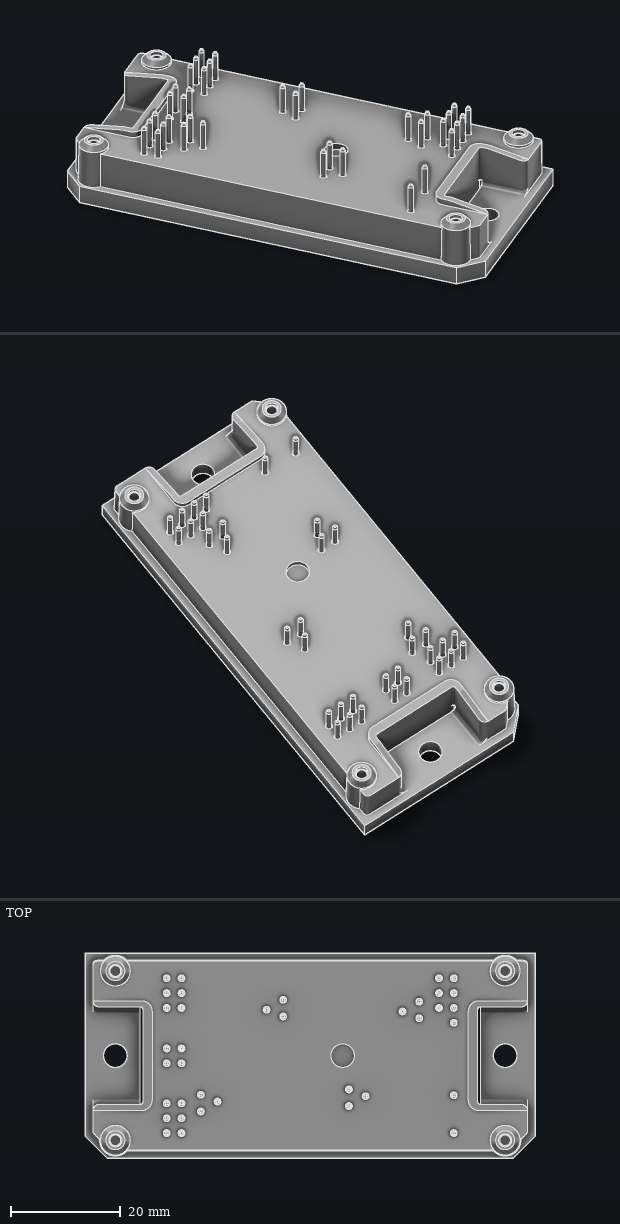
import cadquery as cq
import math

LENGTH = 82.0
WIDTH = 37.4
FLANGE_HEIGHT = 3.5
FLANGE_CHAMFER = 4.0

TOP_Z = 10.5
BLOCK_LENGTH = 79.2
BLOCK_TOP_WIDTH = 34.4
BLOCK_FOOT_WIDTH = 34.8
BLOCK_CORNER_CUT = 3.4
BLOCK_CORNER_RADIUS = 0.8
BLOCK_END_X = BLOCK_LENGTH / 2

BOSS_X = 35.5
BOSS_Y = 15.4
BOSS_FOOT_RADIUS = 2.9
BOSS_RADIUS = 2.7
BOSS_TOP_Z = 12.0
BOSS_CHAMFER = 1.0
SCREW_HOLE_MOUTH_DIAMETER = 2.4
SCREW_HOLE_MOUTH_DEPTH = 0.7
SCREW_HOLE_DIAMETER = 2.0
SCREW_HOLE_DEPTH = 4.9

POCKET_WALL_X = 30.5
POCKET_HALF_WIDTH = 8.85
POCKET_FOOT_RADIUS = 1.15
POCKET_BACK_RADIUS = 0.5
POCKET_MOUTH_RADIUS = 1.2
SLIT_WIDTH = 0.5
MOUNTING_HOLE_DIAMETER = 4.3
RIM_TOP_Z = 11.7
RIM_X = 28.8
RIM_HALF_WIDTH = 10.0
RIM_CORNER_RADIUS = 2.0
RIM_RAMP_X = 32.15
RIM_RAMP_BLEND_RADIUS = 2.95

WINDOW_X = 5.9
WINDOW_DIAMETER = 4.3
ROOF_THICKNESS = 1.3

WALL_THICKNESS = 1.3
CORE_LENGTH = 2 * (POCKET_WALL_X - WALL_THICKNESS)
CORE_WIDTH = BLOCK_TOP_WIDTH - 2 * WALL_THICKNESS
CORE_HEIGHT = TOP_Z - ROOF_THICKNESS

PIN_DIAMETER = 1.0
PIN_HOLE_DIAMETER = 1.2
PIN_TOP_Z = 16.2
PIN_TIP_HEIGHT = 0.5
PIN_TIP_INSET = 0.25
PIN_PITCH = 2.7
PIN_COLUMN_X = 26.15
PIN_ROW_Y = 14.1
CENTRE_ROW_Y = 1.3
LONE_PIN_ROWS = (6.0, -7.2, -PIN_ROW_Y)
TRIAD_PITCH = 3.0
TRIAD_OFFSET = 1.8

TRIADS = (
    (-19.9, -10.2, 1),
    (-4.9, 10.2, -1),
    (7.05, -9.2, 1),
    (19.85, 9.8, -1),
)


def pin_points():
    """Centres of all contact pins."""
    columns = (PIN_COLUMN_X - PIN_PITCH, PIN_COLUMN_X)
    upper_rows = [PIN_ROW_Y - step * PIN_PITCH for step in range(3)]
    lower_rows = [-row for row in upper_rows]
    centre_rows = [CENTRE_ROW_Y, CENTRE_ROW_Y - PIN_PITCH]
    left_block = [(-x, y) for x in columns for y in upper_rows + centre_rows + lower_rows]
    right_block = [(x, y) for x in columns for y in upper_rows]
    lone_pins = [(PIN_COLUMN_X, y) for y in LONE_PIN_ROWS]
    triad_pins = []
    for x, y, turn in TRIADS:
        second_pin = (x, y + turn * TRIAD_PITCH)
        third_pin = (x + turn * TRIAD_PITCH, y + turn * TRIAD_OFFSET)
        triad_pins += [(x, y), second_pin, third_pin]
    return left_block + right_block + lone_pins + triad_pins


def both_ends(shape):
    """The shape built at the +X end together with its mirror image at the -X end."""
    return shape.union(shape.mirror("YZ"))


def make_flange():
    flange = cq.Workplane("XY").box(LENGTH, WIDTH, FLANGE_HEIGHT, centered=(True, True, False))
    return flange.faces("<Y").edges("|Z").chamfer(FLANGE_CHAMFER)


def make_block():
    """Upper block with leaning long sides, cut corners at -Y and rounded end edges."""
    block = (
        cq.Workplane("YZ")
        .moveTo(-BLOCK_FOOT_WIDTH / 2, FLANGE_HEIGHT)
        .lineTo(BLOCK_FOOT_WIDTH / 2, FLANGE_HEIGHT)
        .lineTo(BLOCK_TOP_WIDTH / 2, TOP_Z)
        .lineTo(-BLOCK_TOP_WIDTH / 2, TOP_Z)
        .close()
        .extrude(BLOCK_END_X, both=True)
    )
    cut_start_y = -BLOCK_FOOT_WIDTH / 2 + BLOCK_CORNER_CUT
    corner = (
        cq.Workplane("XY")
        .moveTo(BLOCK_END_X, cut_start_y)
        .lineTo(BLOCK_END_X - BLOCK_CORNER_CUT, -BLOCK_FOOT_WIDTH / 2)
        .lineTo(BLOCK_END_X, -BLOCK_FOOT_WIDTH / 2)
        .close()
        .extrude(TOP_Z)
    )
    block = block.cut(both_ends(corner))
    for end in (">X", "<X"):
        block = block.faces(end).edges("not #Z").fillet(BLOCK_CORNER_RADIUS)
    return block


def make_rim():
    """Raised rim around the +X pocket, before the pocket is cut out of it."""
    rim_length = BLOCK_END_X - RIM_X
    rim = (
        cq.Workplane("XY")
        .box(rim_length, 2 * RIM_HALF_WIDTH, RIM_TOP_Z - FLANGE_HEIGHT, centered=(False, True, False))
        .translate((RIM_X, 0, FLANGE_HEIGHT))
        .faces("<X").edges("|Z").fillet(RIM_CORNER_RADIUS)
    )
    above_ramp = (
        cq.Workplane("XZ")
        .moveTo(RIM_RAMP_X, RIM_TOP_Z)
        .lineTo(BLOCK_END_X, RIM_TOP_Z)
        .lineTo(BLOCK_END_X, TOP_Z)
        .close()
        .extrude(RIM_HALF_WIDTH, both=True)
    )
    ramp_start = cq.selectors.NearestToPointSelector((RIM_RAMP_X, 0, RIM_TOP_Z))
    return rim.cut(above_ramp).edges(ramp_start).fillet(RIM_RAMP_BLEND_RADIUS)


def make_pocket():
    """Space removed for the +X pocket, down to the flange, with rounded back corners."""
    depth = BLOCK_END_X - POCKET_WALL_X
    pocket = (
        cq.Workplane("XY")
        .box(depth, 2 * POCKET_HALF_WIDTH, RIM_TOP_Z - FLANGE_HEIGHT, centered=(False, True, False))
        .translate((POCKET_WALL_X, 0, FLANGE_HEIGHT))
    )
    return pocket.faces("<X").edges("|Z").fillet(POCKET_BACK_RADIUS)


def foot_fillet_section():
    """Hollow triangle at the foot of the +Y pocket wall, where the mouth rounding starts."""
    radius = POCKET_FOOT_RADIUS
    middle = radius * (1 - math.sqrt(0.5))
    mouth_x = BLOCK_END_X - POCKET_MOUTH_RADIUS
    return (
        cq.Workplane("YZ", origin=(mouth_x, POCKET_HALF_WIDTH, FLANGE_HEIGHT))
        .lineTo(-radius, 0)
        .threePointArc((-middle, middle), (0, radius))
        .close()
    )


def make_foot_fillet():
    """Fillet along the foot of the +Y pocket wall, turning with the mouth up to the block end."""
    straight_length = BLOCK_END_X - POCKET_MOUTH_RADIUS - POCKET_WALL_X
    straight = foot_fillet_section().extrude(-straight_length)
    turn = foot_fillet_section().revolve(90, (POCKET_MOUTH_RADIUS, 0, 0), (POCKET_MOUTH_RADIUS, 1, 0))
    inside_block_ends = cq.Workplane("XY").box(2 * BLOCK_END_X, WIDTH, 2 * TOP_Z)
    return straight.union(turn.intersect(inside_block_ends))


def make_slit():
    """Slit between the tongue and the back wall of the +X pocket."""
    height = FLANGE_HEIGHT + POCKET_FOOT_RADIUS
    slit = cq.Workplane("XY").box(SLIT_WIDTH, 2 * POCKET_HALF_WIDTH, height, centered=(False, True, False))
    return slit.translate((POCKET_WALL_X, 0, 0))


def make_mouth_rounding():
    """Material outside the rounded vertical edges at the mouth of the +X pocket."""
    radius = POCKET_MOUTH_RADIUS
    square = (
        cq.Workplane("XY", origin=(0, 0, FLANGE_HEIGHT))
        .rect(radius, radius, centered=False)
        .extrude(RIM_TOP_Z - FLANGE_HEIGHT)
    )
    disc = (
        cq.Workplane("XY", origin=(0, radius, FLANGE_HEIGHT))
        .circle(radius)
        .extrude(RIM_TOP_Z - FLANGE_HEIGHT)
    )
    corner = square.cut(disc).translate((BLOCK_END_X - radius, POCKET_HALF_WIDTH, 0))
    return corner.union(corner.mirror("XZ"))


def make_boss(x, y):
    """Slightly conical corner post with a sloping shoulder."""
    shoulder_z = BOSS_TOP_Z - BOSS_CHAMFER
    return (
        cq.Workplane("XZ")
        .moveTo(0, FLANGE_HEIGHT)
        .lineTo(BOSS_FOOT_RADIUS, FLANGE_HEIGHT)
        .lineTo(BOSS_RADIUS, shoulder_z)
        .lineTo(BOSS_RADIUS - BOSS_CHAMFER, BOSS_TOP_Z)
        .lineTo(0, BOSS_TOP_Z)
        .close()
        .revolve(360, (0, 0, 0), (0, 1, 0))
        .translate((x, y, 0))
    )


def make_screw_hole(x, y):
    """Blind hole of a boss with a wider mouth."""
    top = cq.Workplane("XY", origin=(x, y, BOSS_TOP_Z))
    mouth = top.circle(SCREW_HOLE_MOUTH_DIAMETER / 2).extrude(-SCREW_HOLE_MOUTH_DEPTH)
    bore = top.circle(SCREW_HOLE_DIAMETER / 2).extrude(-SCREW_HOLE_DEPTH)
    return mouth.union(bore)


def make_cavity():
    """Space under the roof that the core fills."""
    return cq.Workplane("XY").box(CORE_LENGTH, CORE_WIDTH, CORE_HEIGHT, centered=(True, True, False))


def make_housing():
    housing = make_flange().union(make_block()).union(both_ends(make_rim()))
    housing = housing.cut(both_ends(make_pocket())).cut(both_ends(make_mouth_rounding()))
    foot_fillet = make_foot_fillet()
    housing = housing.union(both_ends(foot_fillet.union(foot_fillet.mirror("XZ"))))
    housing = housing.cut(both_ends(make_slit()))
    for x in (-BOSS_X, BOSS_X):
        for y in (-BOSS_Y, BOSS_Y):
            housing = housing.union(make_boss(x, y)).cut(make_screw_hole(x, y))
    mounting_holes = (
        cq.Workplane("XY")
        .pushPoints([(-BOSS_X, 0), (BOSS_X, 0)])
        .circle(MOUNTING_HOLE_DIAMETER / 2)
        .extrude(FLANGE_HEIGHT)
    )
    window = cq.Workplane("XY").center(WINDOW_X, 0).circle(WINDOW_DIAMETER / 2).extrude(TOP_Z)
    pin_holes = cq.Workplane("XY").pushPoints(pin_points()).circle(PIN_HOLE_DIAMETER / 2).extrude(TOP_Z)
    return housing.cut(mounting_holes).cut(make_cavity()).cut(window).cut(pin_holes)


def make_core():
    """Block inside the housing together with the pins that stand on it."""
    pins = (
        cq.Workplane("XY", origin=(0, 0, CORE_HEIGHT))
        .pushPoints(pin_points())
        .circle(PIN_DIAMETER / 2)
        .extrude(PIN_TOP_Z - CORE_HEIGHT)
        .faces(">Z").edges().chamfer(PIN_TIP_HEIGHT, PIN_TIP_INSET)
    )
    return make_cavity().union(pins)


housing = make_housing()
core = make_core()

result = cq.Compound.makeCompound([housing.val(), core.val()])